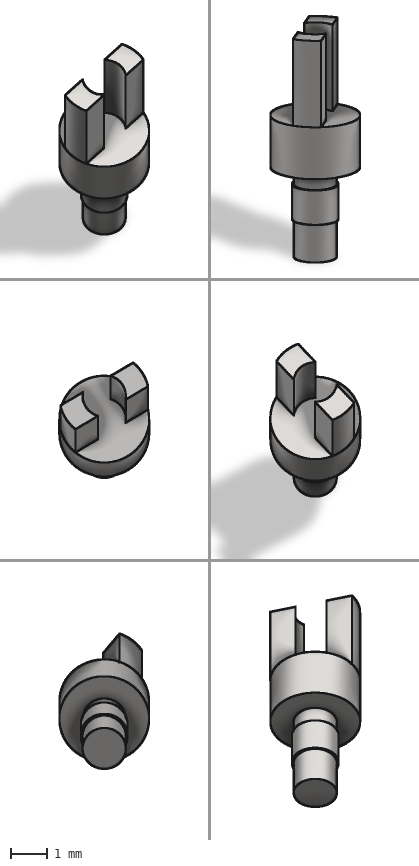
import cadquery as cq

flange_diameter = 2.5
flange_height = 1.5

pin_diameter = 1.2
pin_length = 2.6

sleeve_diameter = 1.3
sleeve_length = 1.0
sleeve_gap = 0.5

prong_width = 0.8
prong_height = 2.5
prong_bore_diameter = 1.2

pin_bottom = -pin_length
sleeve_bottom = -(sleeve_gap + sleeve_length)
prong_bottom = flange_height


def cylinder(diameter, height, bottom):
    """Solid cylinder on the Z axis, rising from the given level."""
    return cq.Workplane("XY", origin=(0, 0, bottom)).circle(diameter / 2).extrude(height)


def make_flange():
    return cylinder(flange_diameter, flange_height, 0)


def make_pin():
    """Plain pin hanging from the underside of the flange."""
    return cylinder(pin_diameter, pin_length, pin_bottom)


def make_sleeve():
    """Thin ring fitted closely around the pin."""
    outside = cylinder(sleeve_diameter, sleeve_length, sleeve_bottom)
    return outside.cut(cylinder(pin_diameter, sleeve_length, sleeve_bottom))


def make_prong(side):
    """Upright slice of a tube, on the +Y (side = 1) or -Y (side = -1) edge of the flange."""
    tube = cylinder(flange_diameter, prong_height, prong_bottom).cut(
        cylinder(prong_bore_diameter, prong_height, prong_bottom)
    )
    slab_depth = flange_diameter / 2
    slab = (
        cq.Workplane("XY", origin=(0, side * slab_depth / 2, prong_bottom))
        .rect(prong_width, slab_depth)
        .extrude(prong_height)
    )
    return tube.intersect(slab)


flange = make_flange()
pin = make_pin()
sleeve = make_sleeve()
prongs = [make_prong(side) for side in (-1, 1)]

result = cq.Compound.makeCompound(
    [flange.val(), pin.val(), sleeve.val(), *[prong.val() for prong in prongs]]
)